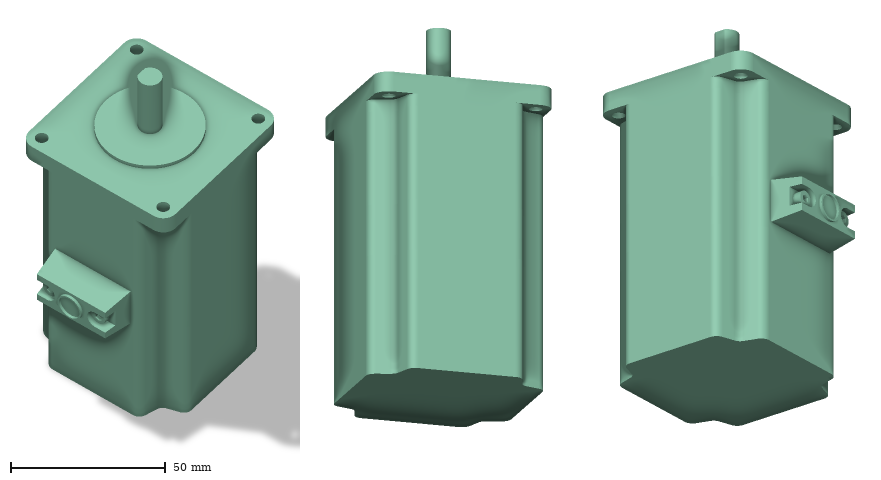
import cadquery as cq
import math

REAR_TOP = 40.0
MIDDLE_TOP = 57.0
STATOR_TOP = 88.4
PLATE_BOTTOM = 92.5
PLATE_TOP = 99.2
PILOT_TOP = 100.7
OVERALL_HEIGHT = 123.5

WIDTH = 60.0
HALF_WIDTH = WIDTH / 2
FACE_HALF_WIDTH = 16.5
LOBE_RADIUS = 3.2
GROOVE_SLOPE = math.radians(17)
LOBE_FLAT_END = 23.0

PLATE_CORNER_RADIUS = 5.1
PILOT_RADIUS = 18.0
HOLE_RADIUS = 2.2
HOLE_OFFSET = 25.0

SHAFT_DIAMETER = 8.0
SHAFT_RADIUS = SHAFT_DIAMETER / 2
SHAFT_FLAT_DISTANCE = 3.6
SHAFT_FLAT_BOTTOM = 103.5

CONNECTOR_CENTER_Z = 50.0
CONNECTOR_LENGTH = 11.5
CONNECTOR_BASE_SIZE = (31.0, 15.0)
CONNECTOR_TIP_SIZE = (28.0, 12.0)
RING_OUTER_RADIUS = 4.8
RING_INNER_RADIUS = 4.2
RING_HEIGHT = 1.0
SLOT_DEPTH = 4.6
SLOT_RADIUS = 3.3
SCREW_OFFSET = 10.0
HEAD_RADIUS = 2.7
HEAD_HEIGHT = 3.0
SOCKET_WIDTH = 2.5
SOCKET_DEPTH = 1.5

CONNECTOR_TIP_Y = -HALF_WIDTH - CONNECTOR_LENGTH
SLOT_FLOOR_Y = CONNECTOR_TIP_Y + SLOT_DEPTH


def corner_cutter(bottom, top):
    """Prism outside the grooved corner at +X +Y, between two heights."""
    sin_slope = math.sin(GROOVE_SLOPE)
    cos_slope = math.cos(GROOVE_SLOPE)
    lobe_center = (HALF_WIDTH - LOBE_RADIUS, FACE_HALF_WIDTH)

    def on_lobe(angle):
        return (
            lobe_center[0] + LOBE_RADIUS * math.cos(angle),
            lobe_center[1] + LOBE_RADIUS * math.sin(angle),
        )

    lobe_end_angle = math.pi / 2 - GROOVE_SLOPE
    lobe_start = (HALF_WIDTH, FACE_HALF_WIDTH)
    lobe_middle = on_lobe(lobe_end_angle / 2)
    lobe_end = on_lobe(lobe_end_angle)
    flat_run = lobe_end[0] - LOBE_FLAT_END
    flat_end = (LOBE_FLAT_END, lobe_end[1] + flat_run * math.tan(GROOVE_SLOPE))

    root_radius = (flat_end[0] - flat_end[1]) / (cos_slope - sin_slope)
    root_center = flat_end[1] + root_radius * cos_slope
    root_middle = root_center - root_radius / math.sqrt(2)

    def mirrored(point):
        return (point[1], point[0])

    return (
        cq.Workplane("XY")
        .workplane(offset=bottom)
        .moveTo(*lobe_start)
        .threePointArc(lobe_middle, lobe_end)
        .lineTo(*flat_end)
        .threePointArc((root_middle, root_middle), mirrored(flat_end))
        .lineTo(*mirrored(lobe_end))
        .threePointArc(mirrored(lobe_middle), mirrored(lobe_start))
        .lineTo(HALF_WIDTH, HALF_WIDTH)
        .close()
        .extrude(top - bottom)
    )


def grooved_block(bottom, top):
    """Square block with the four corners grooved."""
    block = cq.Workplane("XY").workplane(offset=bottom).rect(WIDTH, WIDTH).extrude(top - bottom)
    cutter = corner_cutter(bottom, top)
    for quarter in range(4):
        block = block.cut(cutter.rotate((0, 0, 0), (0, 0, 1), 90 * quarter))
    return block


def make_flange():
    """Mounting plate with its pilot boss, corner holes and a short grooved skirt below."""
    plate = (
        cq.Workplane("XY")
        .workplane(offset=PLATE_BOTTOM)
        .rect(WIDTH, WIDTH)
        .extrude(PLATE_TOP - PLATE_BOTTOM)
        .edges("|Z")
        .fillet(PLATE_CORNER_RADIUS)
        .faces(">Z")
        .workplane()
        .rect(2 * HOLE_OFFSET, 2 * HOLE_OFFSET, forConstruction=True)
        .vertices()
        .hole(2 * HOLE_RADIUS)
    )
    pilot = cq.Workplane("XY").workplane(offset=PLATE_TOP).circle(PILOT_RADIUS).extrude(PILOT_TOP - PLATE_TOP)
    return grooved_block(STATOR_TOP, PLATE_BOTTOM).union(plate).union(pilot)


def make_shaft():
    """Output shaft standing on the pilot, with one flat facing -X that stops above the pilot."""
    shaft = (
        cq.Workplane("XY")
        .workplane(offset=PILOT_TOP)
        .circle(SHAFT_RADIUS)
        .extrude(OVERALL_HEIGHT - PILOT_TOP)
    )
    flat_cutter = (
        cq.Workplane("XY")
        .workplane(offset=SHAFT_FLAT_BOTTOM)
        .center(-SHAFT_FLAT_DISTANCE - SHAFT_RADIUS, 0)
        .rect(SHAFT_DIAMETER, SHAFT_DIAMETER)
        .extrude(OVERALL_HEIGHT - SHAFT_FLAT_BOTTOM)
    )
    return shaft.cut(flat_cutter)


def facing_front(y):
    """Workplane at the given Y, centred on the connector and facing -Y."""
    return cq.Workplane("XZ", origin=(0, y, CONNECTOR_CENTER_Z))


def open_slot(side):
    """Round-ended slot cutter, open towards the connector end on the given side (-1 or 1)."""
    round_end = (
        facing_front(SLOT_FLOOR_Y)
        .center(side * SCREW_OFFSET, 0)
        .circle(SLOT_RADIUS)
        .extrude(SLOT_DEPTH)
    )
    mouth_length = CONNECTOR_BASE_SIZE[0] / 2
    mouth = (
        facing_front(SLOT_FLOOR_Y)
        .center(side * (SCREW_OFFSET + mouth_length / 2), 0)
        .rect(mouth_length, 2 * SLOT_RADIUS)
        .extrude(SLOT_DEPTH)
    )
    return round_end.union(mouth)


def screw_head(side):
    """Cylindrical screw head with a hexagonal socket, standing on the slot floor."""
    head = facing_front(SLOT_FLOOR_Y).center(side * SCREW_OFFSET, 0).circle(HEAD_RADIUS).extrude(HEAD_HEIGHT)
    socket_floor_y = SLOT_FLOOR_Y - HEAD_HEIGHT + SOCKET_DEPTH
    corner_radius = SOCKET_WIDTH / math.sqrt(3)
    corners = []
    for number in range(6):
        angle = math.radians(90 + 60 * number)
        corners.append((corner_radius * math.cos(angle), corner_radius * math.sin(angle)))
    socket = (
        facing_front(socket_floor_y)
        .center(side * SCREW_OFFSET, 0)
        .polyline(corners)
        .close()
        .extrude(SOCKET_DEPTH)
    )
    return head.cut(socket)


def make_connector():
    """Tapered block with a thin ring and two open slots, each holding a screw head."""
    connector = (
        facing_front(-HALF_WIDTH)
        .rect(*CONNECTOR_BASE_SIZE)
        .workplane(offset=CONNECTOR_LENGTH)
        .rect(*CONNECTOR_TIP_SIZE)
        .loft(ruled=True)
    )
    ring = facing_front(CONNECTOR_TIP_Y).circle(RING_OUTER_RADIUS).circle(RING_INNER_RADIUS).extrude(RING_HEIGHT)
    connector = connector.union(ring)
    for side in (-1, 1):
        connector = connector.cut(open_slot(side)).union(screw_head(side))
    return connector


rear_section = grooved_block(0, REAR_TOP)
middle_section = grooved_block(REAR_TOP, MIDDLE_TOP).union(make_connector())
stator = grooved_block(MIDDLE_TOP, STATOR_TOP)
flange = make_flange()
shaft = make_shaft()

result = cq.Compound.makeCompound(
    [rear_section.val(), middle_section.val(), stator.val(), flange.val(), shaft.val()]
)